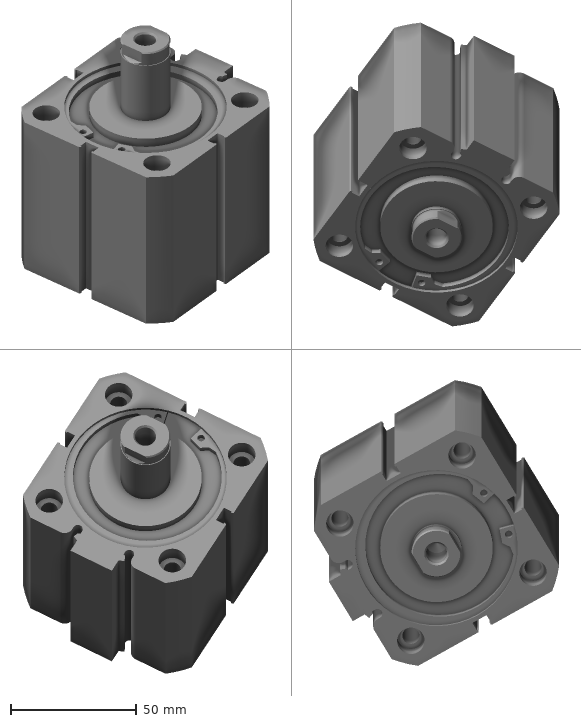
import cadquery as cq
import math

housing_width = 77.5
housing_height = 71.2
corner_edge = 31.0
bore_radius = 32.5

rail_top = 44.25
rail_half_width = 9.5
barb_half_width = 11.65
barb_upper_y = 37.9
barb_lower_half_width = 10.9
barb_lower_y = 35.8
groove_centre_x = 11.8
groove_centre_y = 34.1
groove_radius = 1.95
groove_lip_radius = 3.5

slot_floor = 34.2
slot_width = 6.5
slot_mouth_width = 5.5
slot_lip = 1.1
slot_mouth_chamfer = 0.4

mount_pitch = 56.5
mount_hole_diameter = 6.8
counterbore_diameter = 11.0
counterbore_depth = 7.2

ring_inset = 1.45
ring_thickness = 2.5
ring_outer_radius = 33.9
ring_inner_radius = 29.75
ring_inner_offset = 1.5
lug_hole_radius = 1.5
lug_hole_x = 9.9
lug_hole_y = 27.7
lug_face_distance = 26.15
lug_end_angle = 13.9
lug_corner_x = 11.8
shoulder_y = 25.5
shoulder_inner_x = 14.7
shoulder_outer_x = 18.2

cover_thickness = 15.0
boss_radius = 22.5

rod_radius = 10.0
rod_top_reach = 33.0
rod_bottom_reach = 112.0 - housing_height - rod_top_reach
neck_radius = 9.7
rod_chamfer = 0.5
end_land_length = 0.2
flat_distance = 8.5
flat_length = 5.0
tap_radius = 4.2
tap_depth = 15.0
tap_countersink_radius = 4.9
tap_point_angle = 59.0

half_width = housing_width / 2
housing_middle = housing_height / 2
corner_radius = math.hypot(half_width, corner_edge)
corner_mid = corner_radius / math.sqrt(2)
groove_inner_x = groove_centre_x - groove_radius
groove_outer_x = groove_centre_x + groove_radius
groove_lip_y = half_width - groove_lip_radius
groove_lip_mid_x = groove_outer_x + groove_lip_radius * (1 - math.sqrt(0.5))
groove_lip_mid_y = groove_lip_y + groove_lip_radius * math.sqrt(0.5)
cover_inset = ring_inset + ring_thickness
rod_length = rod_top_reach + housing_height + rod_bottom_reach
neck_length = flat_length + neck_radius - flat_distance


def mirror_to_bottom(top_body):
    """Copy a body at the top end to the bottom end of the housing."""
    return top_body.mirror("XY", (0, 0, housing_middle))


def housing_outline():
    """Square with turned corners and the grooved rail on its +Y side."""
    return (
        cq.Workplane("XY")
        .moveTo(-corner_edge, -half_width)
        .lineTo(corner_edge, -half_width)
        .threePointArc((corner_mid, -corner_mid), (half_width, -corner_edge))
        .lineTo(half_width, corner_edge)
        .threePointArc((corner_mid, corner_mid), (corner_edge, half_width))
        .lineTo(groove_outer_x + groove_lip_radius, half_width)
        .threePointArc((groove_lip_mid_x, groove_lip_mid_y), (groove_outer_x, groove_lip_y))
        .lineTo(groove_outer_x, groove_centre_y)
        .threePointArc(
            (groove_centre_x, groove_centre_y - groove_radius),
            (groove_inner_x, groove_centre_y),
        )
        .lineTo(groove_inner_x, groove_lip_y)
        .lineTo(barb_lower_half_width, barb_lower_y)
        .lineTo(barb_half_width, barb_upper_y)
        .lineTo(rail_half_width, half_width)
        .lineTo(rail_half_width, rail_top)
        .lineTo(-rail_half_width, rail_top)
        .lineTo(-rail_half_width, half_width)
        .lineTo(-barb_half_width, barb_upper_y)
        .lineTo(-barb_lower_half_width, barb_lower_y)
        .lineTo(-groove_inner_x, groove_lip_y)
        .lineTo(-groove_inner_x, groove_centre_y)
        .threePointArc(
            (-groove_centre_x, groove_centre_y - groove_radius),
            (-groove_outer_x, groove_centre_y),
        )
        .lineTo(-groove_outer_x, groove_lip_y)
        .threePointArc(
            (-groove_lip_mid_x, groove_lip_mid_y),
            (-groove_outer_x - groove_lip_radius, half_width),
        )
        .lineTo(-corner_edge, half_width)
        .threePointArc((-corner_mid, corner_mid), (-half_width, corner_edge))
        .lineTo(-half_width, -corner_edge)
        .threePointArc((-corner_mid, -corner_mid), (-corner_edge, -half_width))
        .close()
    )


def sensor_slot(angle):
    """T-shaped slot along Z, turned from the +X side by the given angle."""
    lip_inner = half_width - slot_lip
    wide_half = slot_width / 2
    mouth_half = slot_mouth_width / 2
    upper_points = [
        (slot_floor, wide_half),
        (lip_inner, wide_half),
        (lip_inner, mouth_half),
        (half_width - slot_mouth_chamfer, mouth_half),
        (half_width, mouth_half + slot_mouth_chamfer),
    ]
    lower_points = [(x, -y) for x, y in reversed(upper_points)]
    slot = cq.Workplane("XY").polyline(upper_points + lower_points).close().extrude(housing_height)
    return slot.rotate((0, 0, 0), (0, 0, 1), angle)


def ring_groove():
    """Groove for the upper retaining ring."""
    groove_bottom = housing_height - cover_inset
    return cq.Workplane("XY").workplane(offset=groove_bottom).circle(ring_outer_radius).extrude(ring_thickness)


def mount_holes():
    """Four through holes, counterbored from both ends."""
    pattern = cq.Workplane("XY").rect(mount_pitch, mount_pitch, forConstruction=True).vertices()
    holes = pattern.circle(mount_hole_diameter / 2).extrude(housing_height)
    bottom_counterbores = pattern.circle(counterbore_diameter / 2).extrude(counterbore_depth)
    return holes.union(bottom_counterbores).union(mirror_to_bottom(bottom_counterbores))


def make_housing():
    housing = housing_outline().extrude(housing_height)
    housing = housing.cut(cq.Workplane("XY").circle(bore_radius).extrude(housing_height))
    for angle in (0, 180, 270):
        housing = housing.cut(sensor_slot(angle))
    top_groove = ring_groove()
    housing = housing.cut(top_groove).cut(mirror_to_bottom(top_groove))
    return housing.cut(mount_holes())


def lug_face_point(x):
    """Point at the given X on the inner face of the +X lug, square to the hole's radius."""
    hole_distance = math.hypot(lug_hole_x, lug_hole_y)
    y = -(lug_face_distance * hole_distance - lug_hole_x * x) / lug_hole_y
    return (x, y)


def make_top_ring():
    """Eccentric open ring with a drilled lug at each side of its gap."""
    end_angle = math.radians(lug_end_angle)
    hole_angle = math.atan2(lug_hole_x, lug_hole_y)
    lug_tip_radius = lug_face_distance / math.cos(hole_angle - end_angle)
    ring_end_x = ring_outer_radius * math.sin(end_angle)
    ring_end_y = -ring_outer_radius * math.cos(end_angle)
    shoulder_outer_y = -ring_inner_offset - math.sqrt(ring_inner_radius**2 - shoulder_outer_x**2)
    lug_points = [
        (ring_end_x, ring_end_y),
        (lug_tip_radius * math.sin(end_angle), -lug_tip_radius * math.cos(end_angle)),
        lug_face_point(lug_corner_x),
        (shoulder_inner_x, -shoulder_y),
        (shoulder_outer_x, shoulder_outer_y),
    ]
    mirrored_points = [(-x, y) for x, y in reversed(lug_points)]
    plane = cq.Workplane("XY").workplane(offset=housing_height - cover_inset)
    ring = (
        plane
        .polyline(lug_points)
        .threePointArc((0, ring_inner_radius - ring_inner_offset), mirrored_points[0])
        .polyline(mirrored_points[1:], includeCurrent=True)
        .threePointArc((0, ring_outer_radius), lug_points[0])
        .close()
        .extrude(ring_thickness)
    )
    lug_centres = [(lug_hole_x, -lug_hole_y), (-lug_hole_x, -lug_hole_y)]
    return ring.cut(plane.pushPoints(lug_centres).circle(lug_hole_radius).extrude(ring_thickness))


def make_top_cover():
    """Disc under the retaining ring, with a boss flush with the housing end."""
    cover_base = housing_height - cover_inset - cover_thickness
    plane = cq.Workplane("XY").workplane(offset=cover_base)
    disc = plane.circle(bore_radius).extrude(cover_thickness)
    boss = plane.circle(boss_radius).extrude(cover_thickness + cover_inset)
    rod_hole = plane.circle(rod_radius).extrude(cover_thickness + cover_inset)
    return disc.union(boss).cut(rod_hole)


def rod_half():
    """Upper half of the rod from Z = 0 to its end, with neck, flats and tapped hole."""
    end = rod_length / 2
    neck_foot = end - neck_length
    countersink = tap_countersink_radius - tap_radius
    point_depth = tap_radius / math.tan(math.radians(tap_point_angle))
    half = (
        cq.Workplane("XZ")
        .polyline([
            (0, 0),
            (rod_radius, 0),
            (rod_radius, neck_foot),
            (neck_radius, neck_foot),
            (neck_radius, end - rod_chamfer - end_land_length),
            (rod_radius, end - rod_chamfer - end_land_length),
            (rod_radius, end - rod_chamfer),
            (rod_radius - rod_chamfer, end),
            (tap_countersink_radius, end),
            (tap_radius, end - countersink),
            (tap_radius, end - tap_depth),
            (0, end - tap_depth - point_depth),
        ])
        .close()
        .revolve(360, (0, 0, 0), (0, 1, 0))
    )
    flat_foot = end - flat_length
    flat_cut = (
        cq.Workplane("YZ")
        .polyline([
            (-flat_distance, end),
            (-flat_distance, flat_foot),
            (-neck_radius, neck_foot),
            (-rod_radius, neck_foot),
            (-rod_radius, end),
        ])
        .close()
        .extrude(rod_radius, both=True)
    )
    return half.cut(flat_cut).cut(flat_cut.mirror("XZ"))


def make_rod():
    upper = rod_half()
    rod = upper.union(upper.mirror("XY"))
    return rod.translate((0, 0, rod_length / 2 - rod_bottom_reach))


housing = make_housing()
rod = make_rod()
top_cover = make_top_cover()
top_ring = make_top_ring()
covers = [top_cover, mirror_to_bottom(top_cover)]
rings = [top_ring, mirror_to_bottom(top_ring)]

result = cq.Compound.makeCompound([body.val() for body in [housing, rod, *covers, *rings]])